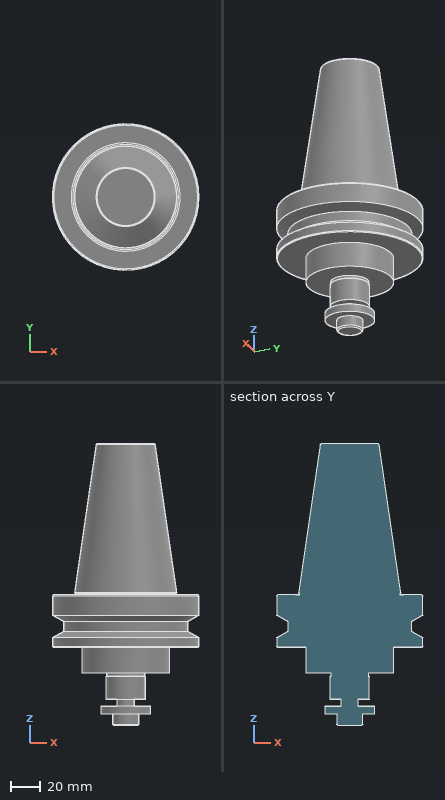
import cadquery as cq

tip_dia = 18.0
washer_dia = 34.0
stem_dia = 12.0
pilot_dia = 27.0
pilot_relief_dia = 26.2
spigot_dia = 60.0
flange_dia = 100.0
groove_dia = 85.0
neck_dia = 69.2
recess_floor_dia = 72.0
recess_rim_dia = 74.2
taper_large_dia = 69.8

washer_bottom = 8.0
washer_top = 13.3
pilot_bottom = 18.0
pilot_top = 34.0
spigot_bottom = 35.9
flange_bottom = 53.5
groove_lower_edge = 60.2
groove_upper_edge = 75.4
flange_top = 89.7
taper_bottom = 91.0
overall_height = 192.8

taper_rate = 7 / 24
groove_flank_height = 4.2
recess_depth = 0.4
tip_chamfer = 1.0
pilot_chamfer = 0.4
flange_lower_chamfer = 0.5
flange_upper_chamfer = 1.0
taper_chamfer_height = 0.8
taper_chamfer_width = 0.5
undercut_height = 0.5

taper_small_dia = taper_large_dia - taper_rate * (overall_height - taper_bottom)


def step(diameter, bottom, top, lower_chamfer=0, upper_chamfer=0):
    """Profile points of a cylindrical section, with optional chamfers."""
    radius = diameter / 2
    points = []
    if lower_chamfer:
        points.append((radius - lower_chamfer, bottom))
    points.append((radius, bottom + lower_chamfer))
    points.append((radius, top - upper_chamfer))
    if upper_chamfer:
        points.append((radius - upper_chamfer, top))
    return points


lower_profile = (
    step(tip_dia, 0, washer_bottom, lower_chamfer=tip_chamfer)
    + step(washer_dia, washer_bottom, washer_top)
    + step(stem_dia, washer_top, pilot_bottom)
    + step(pilot_dia, pilot_bottom, pilot_top, upper_chamfer=pilot_chamfer)
    + step(pilot_relief_dia, pilot_top, spigot_bottom)[1:]
    + step(spigot_dia, spigot_bottom, flange_bottom)
)

flange_profile = (
    step(flange_dia, flange_bottom, groove_lower_edge, lower_chamfer=flange_lower_chamfer)
    + step(groove_dia, groove_lower_edge + groove_flank_height, groove_upper_edge - groove_flank_height)
    + step(flange_dia, groove_upper_edge, flange_top, upper_chamfer=flange_upper_chamfer)
)

recess_profile = [
    (recess_rim_dia / 2, flange_top),
    (recess_floor_dia / 2, flange_top - recess_depth),
]
neck_profile = step(neck_dia, flange_top - recess_depth, taper_bottom - undercut_height)
taper_profile = [
    (taper_large_dia / 2, taper_bottom),
    (taper_small_dia / 2 + taper_chamfer_height * taper_rate / 2, overall_height - taper_chamfer_height),
    (taper_small_dia / 2 - taper_chamfer_width, overall_height),
]

axis_bottom = (0, 0)
axis_top = (0, overall_height)
profile = [axis_bottom] + lower_profile + flange_profile
profile += recess_profile + neck_profile + taper_profile + [axis_top]

result = cq.Workplane("XZ").polyline(profile).close().revolve(360, axis_bottom, axis_top)